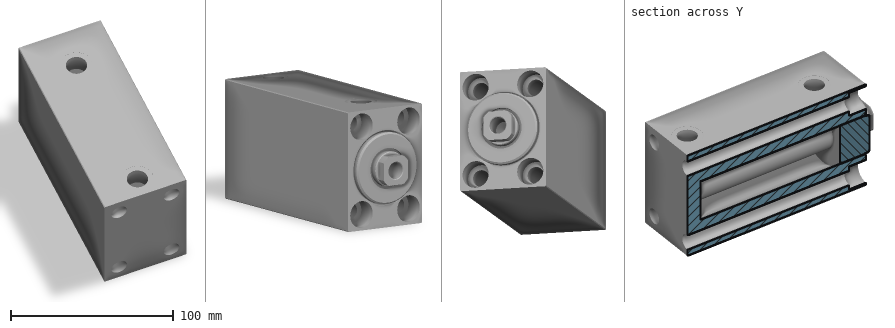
import cadquery as cq
import math


total_length = 147.0
rod_reach = 12.0
housing_length = total_length - rod_reach
housing_width = 55.0
housing_height = 75.0
edge_chamfer = 0.5

bore_diameter = 45.0
bore_depth = 125.0
mouth_chamfer = 1.0

mount_spacing_y = 35.0
mount_spacing_z = 55.0
mount_diameter = 10.5
counterbore_diameter = 16.8
counterbore_depth = 12.5

front_port_x = 26.5
rear_port_inset = 12.5
port_positions = (front_port_x, housing_length - rear_port_inset)
spotface_diameter = 20.0
spotface_depth = 0.1
port_diameter = 13.1
port_depth = 12.0
oil_drill_diameter = 4.0

gland_reach = 3.0
gland_insertion = 20.0
gland_chamfer = 1.0
wiper_seat_diameter = 25.6
wiper_seat_depth = 1.5

rod_diameter = 22.0
rod_chamfer = 0.5
square_length = 6.0
square_size = 18.0
square_corner_diameter = rod_diameter - 2 * rod_chamfer
tap_diameter = 10.5
tap_depth = 15.0
tap_chamfer = 0.5
drill_point_angle = 118.0


def x_cylinder(diameter, start_x, end_x):
    """Solid cylinder on the cylinder axis between two X positions."""
    plane = cq.Workplane("YZ", origin=(start_x, 0, 0))
    return plane.circle(diameter / 2).extrude(end_x - start_x)


def x_cone(start_diameter, end_diameter, start_x, end_x):
    """Solid cone or truncated cone on the cylinder axis."""
    profile = cq.Workplane("XZ").moveTo(start_x, 0).lineTo(start_x, start_diameter / 2)
    profile = profile.lineTo(end_x, end_diameter / 2)
    if end_diameter > 0:
        profile = profile.lineTo(end_x, 0)
    return profile.close().revolve(360, (0, 0, 0), (1, 0, 0))


def make_port(port_x):
    """Cutter for one oil port: spot face, threaded hole and drilling into the bore."""
    top = cq.Workplane("XY", origin=(port_x, 0, housing_height / 2))
    spotface = top.circle(spotface_diameter / 2).extrude(-spotface_depth)
    thread_hole = top.circle(port_diameter / 2).extrude(-port_depth)
    oil_drill = top.circle(oil_drill_diameter / 2).extrude(-housing_height / 2)
    return spotface.union(thread_hole).union(oil_drill)


def make_housing():
    housing = cq.Workplane("XY").box(
        housing_length, housing_width, housing_height, centered=(False, True, True)
    )
    housing = housing.edges("|X").chamfer(edge_chamfer)

    bore = x_cylinder(bore_diameter, 0, bore_depth)
    mouth = x_cone(bore_diameter + 2 * mouth_chamfer, bore_diameter, 0, mouth_chamfer)
    housing = housing.cut(bore).cut(mouth)

    housing = (
        housing.faces("<X")
        .workplane(origin=(0, 0, 0))
        .rarray(mount_spacing_y, mount_spacing_z, 2, 2)
        .cboreHole(mount_diameter, counterbore_diameter, counterbore_depth)
    )

    for port_x in port_positions:
        housing = housing.cut(make_port(port_x))
    return housing


def make_gland():
    gland = x_cylinder(bore_diameter, -gland_reach, gland_insertion)
    gland = gland.faces("<X").chamfer(gland_chamfer)
    rod_hole = x_cylinder(rod_diameter, -gland_reach, gland_insertion)
    wiper_seat = x_cylinder(wiper_seat_diameter, -gland_reach, -gland_reach + wiper_seat_depth)
    return gland.cut(rod_hole).cut(wiper_seat)


def make_rod():
    shoulder_x = -rod_reach + square_length
    rod = x_cylinder(rod_diameter, shoulder_x, bore_depth)
    rod = rod.faces("<X").chamfer(rod_chamfer)

    square = cq.Workplane("YZ", origin=(-rod_reach, 0, 0)).rect(square_size, square_size)
    square = square.extrude(square_length)
    square = square.intersect(x_cylinder(square_corner_diameter, -rod_reach, shoulder_x))
    rod = rod.union(square)

    tap_end_x = -rod_reach + tap_depth
    point_length = tap_diameter / 2 / math.tan(math.radians(drill_point_angle / 2))
    tap_hole = x_cylinder(tap_diameter, -rod_reach, tap_end_x)
    countersink = x_cone(
        tap_diameter + 2 * tap_chamfer, tap_diameter, -rod_reach, -rod_reach + tap_chamfer
    )
    drill_point = x_cone(tap_diameter, 0, tap_end_x, tap_end_x + point_length)
    return rod.cut(tap_hole).cut(countersink).cut(drill_point)


housing = make_housing()
gland = make_gland()
rod = make_rod()

result = cq.Compound.makeCompound([housing.val(), gland.val(), rod.val()])